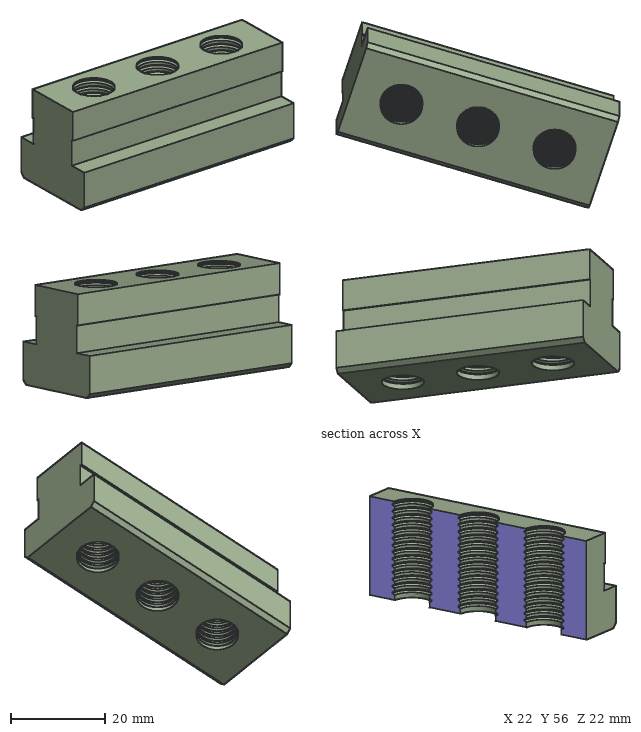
import cadquery as cq

length = 56.0
foot_width = 22.0
height = 22.0

foot_height = 9.25
foot_chamfer = 1.0
neck_width = 13.4
head_width = 14.1
head_height = 6.8

hole_count = 3
hole_spacing = 17.0
bore_diameter = 8.95
thread_diameter = 10.0
thread_pitch = 1.5
groove_width = 0.85
root_width = 0.1
top_crest = 0.35


def t_section():
    """T outline in XZ: the +X half, mirrored about the centre plane."""
    head_bottom = height - head_height
    return (
        cq.Workplane("XZ")
        .moveTo(0, 0)
        .lineTo(foot_width / 2 - foot_chamfer, 0)
        .lineTo(foot_width / 2, foot_chamfer)
        .lineTo(foot_width / 2, foot_height)
        .lineTo(neck_width / 2, foot_height)
        .lineTo(neck_width / 2, head_bottom)
        .lineTo(head_width / 2, head_bottom)
        .lineTo(head_width / 2, height)
        .lineTo(0, height)
        .mirrorY()
    )


def threaded_hole():
    """Solid to cut away: the bore plus flat-bottomed V grooves spaced down from the top face."""
    crest_radius = bore_diameter / 2
    root_radius = thread_diameter / 2
    flank_height = (groove_width - root_width) / 2
    groove_count = int((height - top_crest) / thread_pitch)

    profile = cq.Workplane("XZ").moveTo(0, height).lineTo(crest_radius, height)
    for index in range(groove_count):
        groove_top = height - top_crest - index * thread_pitch
        profile = (
            profile.lineTo(crest_radius, groove_top)
            .lineTo(root_radius, groove_top - flank_height)
            .lineTo(root_radius, groove_top - flank_height - root_width)
            .lineTo(crest_radius, groove_top - groove_width)
        )
    profile = profile.lineTo(crest_radius, 0).lineTo(0, 0).close()
    return profile.revolve(360, (0, 0, 0), (0, 1, 0))


result = t_section().extrude(length / 2, both=True)

hole_cutter = threaded_hole()
for index in range(hole_count):
    hole_y = (index - (hole_count - 1) / 2) * hole_spacing
    result = result.cut(hole_cutter.translate((0, hole_y, 0)))